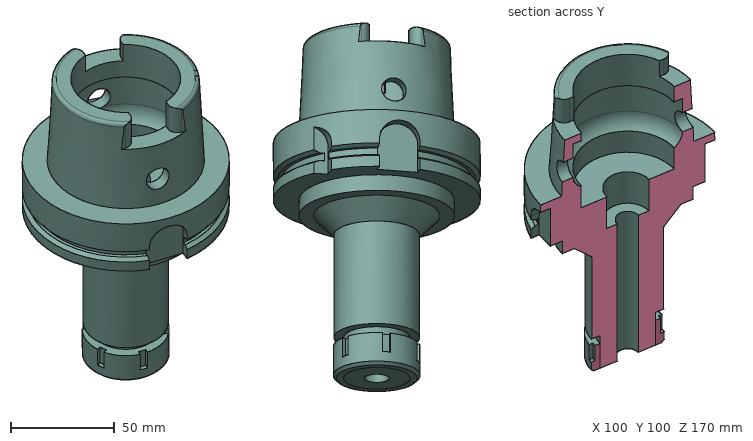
import cadquery as cq
import math


shank_top = 50.0
shank_root_radius = 38.0
shank_taper = 0.05
shank_top_radius = shank_root_radius - shank_taper * shank_top
shank_rim_fillet = 2.0

bore_radius = 26.5
undercut_radius = 31.3
undercut_top = 30.0
undercut_bottom = 9.6
runout_radius = 10.0
bore_floor = -12.4
tube_seat_radius = 12.0
tube_seat_depth = 20.0
coolant_radius = 6.0
cross_hole_radius = 6.0
cross_hole_z = 15.0

flange_radius = 50.0
flange_bottom = -29.0
groove_radius = 46.0
groove_z = -20.25
groove_half_width = 1.9
groove_chamfer_height = 1.3
groove_chamfer_depth = groove_chamfer_height * math.tan(math.radians(60))

collar_radius = 37.5
collar_bottom = -37.0
cone_top_radius = 30.5
body_radius = 20.7
cone_bottom = collar_bottom - (cone_top_radius - body_radius)
body_bottom = -99.2
nose_radius = 16.0
overall_bottom = -120.0

drive_slot_width = 20.0
drive_slot_reach = 32.0
drive_slot_corner = 5.0
drive_slot_floors = {-1: 40.0, 1: 35.0}

flange_slot_width = 20.0
flange_slot_top = -5.0
flange_slot_floor = 44.3
notch_floor = 31.8
notch_y = 41.5

nut_radius = 21.0
nut_top = -103.9
nut_chamfer = 1.5
nut_slot_count = 6
nut_slot_width = 3.8
nut_slot_bottom = -113.5
nut_slot_floor = 18.8


def disc(radius, bottom, top):
    """Cylinder on the Z axis between two heights."""
    return cq.Workplane("XY").workplane(offset=bottom).circle(radius).extrude(top - bottom)


def holder_blank():
    """Turned outside of the holder, with the rim of the shank rounded."""
    groove_top = groove_z + groove_half_width
    groove_bottom = groove_z - groove_half_width
    chamfer_radius = flange_radius - groove_chamfer_depth
    outline = [
        (0, overall_bottom),
        (nose_radius, overall_bottom),
        (nose_radius, body_bottom),
        (body_radius, body_bottom),
        (body_radius, cone_bottom),
        (cone_top_radius, collar_bottom),
        (collar_radius, collar_bottom),
        (collar_radius, flange_bottom),
        (flange_radius, flange_bottom),
        (flange_radius, groove_bottom - groove_chamfer_height),
        (chamfer_radius, groove_bottom),
        (groove_radius, groove_bottom),
        (groove_radius, groove_top),
        (chamfer_radius, groove_top),
        (flange_radius, groove_top + groove_chamfer_height),
        (flange_radius, 0),
        (shank_root_radius, 0),
        (shank_top_radius, shank_top),
        (0, shank_top),
    ]
    blank = cq.Workplane("XZ").polyline(outline).close().revolve(360, (0, 0), (0, 1))
    return blank.faces(">Z").edges().fillet(shank_rim_fillet)


def holder_bore():
    """Stepped hollow on the axis: bore, undercut, coolant tube seat and coolant hole."""
    seat_bottom = bore_floor - tube_seat_depth
    arc_centre_radius = undercut_radius - runout_radius
    arc_angle = math.acos((bore_radius - arc_centre_radius) / runout_radius)

    def runout_point(angle):
        return (
            arc_centre_radius + runout_radius * math.cos(angle),
            undercut_bottom - runout_radius * math.sin(angle),
        )

    return (
        cq.Workplane("XZ")
        .moveTo(0, overall_bottom)
        .lineTo(coolant_radius, overall_bottom)
        .lineTo(coolant_radius, seat_bottom)
        .lineTo(tube_seat_radius, seat_bottom)
        .lineTo(tube_seat_radius, bore_floor)
        .lineTo(bore_radius, bore_floor)
        .lineTo(*runout_point(arc_angle))
        .threePointArc(runout_point(arc_angle / 2), (undercut_radius, undercut_bottom))
        .lineTo(undercut_radius, undercut_top)
        .lineTo(bore_radius, undercut_top)
        .lineTo(bore_radius, shank_top)
        .lineTo(0, shank_top)
        .close()
        .revolve(360, (0, 0), (0, 1))
    )


def cross_hole():
    """Hole along X through both walls of the shank."""
    return (
        cq.Workplane("YZ")
        .center(0, cross_hole_z)
        .circle(cross_hole_radius)
        .extrude(shank_root_radius, both=True)
    )


def drive_slot(side):
    """Cutter for one drive slot, on the -X or +X side, flaring out through rounded corners."""
    half_width = drive_slot_width / 2
    straight_end = drive_slot_reach - drive_slot_corner
    flare_half_width = half_width + drive_slot_corner
    arc_inset = drive_slot_corner * (1 - math.sqrt(0.5))
    arc_middle = (drive_slot_reach - arc_inset, half_width + arc_inset)
    floor_z = drive_slot_floors[side]
    slot = (
        cq.Workplane("XY")
        .workplane(offset=floor_z)
        .moveTo(0, -half_width)
        .lineTo(straight_end, -half_width)
        .threePointArc((arc_middle[0], -arc_middle[1]), (drive_slot_reach, -flare_half_width))
        .lineTo(drive_slot_reach, -shank_root_radius)
        .lineTo(shank_root_radius, -shank_root_radius)
        .lineTo(shank_root_radius, shank_root_radius)
        .lineTo(drive_slot_reach, shank_root_radius)
        .lineTo(drive_slot_reach, flare_half_width)
        .threePointArc(arc_middle, (straight_end, half_width))
        .lineTo(0, half_width)
        .close()
        .extrude(shank_top - floor_z)
    )
    return slot if side > 0 else slot.rotate((0, 0, 0), (0, 0, 1), 180)


def flange_slot(side, y, floor_distance):
    """Cutter for a round-ended slot milled along X into the flange, open at its bottom."""
    radius = flange_slot_width / 2
    arc_z = flange_slot_top - radius
    return (
        cq.Workplane("YZ")
        .workplane(offset=side * floor_distance)
        .moveTo(y - radius, flange_bottom)
        .lineTo(y - radius, arc_z)
        .threePointArc((y, flange_slot_top), (y + radius, arc_z))
        .lineTo(y + radius, flange_bottom)
        .close()
        .extrude(side * (flange_radius - floor_distance))
    )


def make_holder():
    holder = holder_blank().cut(holder_bore()).cut(cross_hole())
    for side in (-1, 1):
        holder = holder.cut(drive_slot(side))
        holder = holder.cut(flange_slot(side, 0, flange_slot_floor))
    return holder.cut(flange_slot(-1, notch_y, notch_floor))


def make_nut():
    """Ring nut around the nose, with wrench slots open at its upper face."""
    nut = disc(nut_radius, overall_bottom, nut_top).faces("<Z").edges().chamfer(nut_chamfer)
    nut = nut.cut(disc(nose_radius, overall_bottom, nut_top))
    slot_depth = nut_radius - nut_slot_floor
    slot = cq.Workplane("XY").box(
        2 * slot_depth, nut_slot_width, nut_top - nut_slot_bottom, centered=(False, True, False)
    ).translate((nut_slot_floor, 0, nut_slot_bottom))
    for index in range(nut_slot_count):
        nut = nut.cut(slot.rotate((0, 0, 0), (0, 0, 1), index * 360 / nut_slot_count))
    return nut


holder = make_holder()
nut = make_nut()

result = cq.Compound.makeCompound([holder.val(), nut.val()])